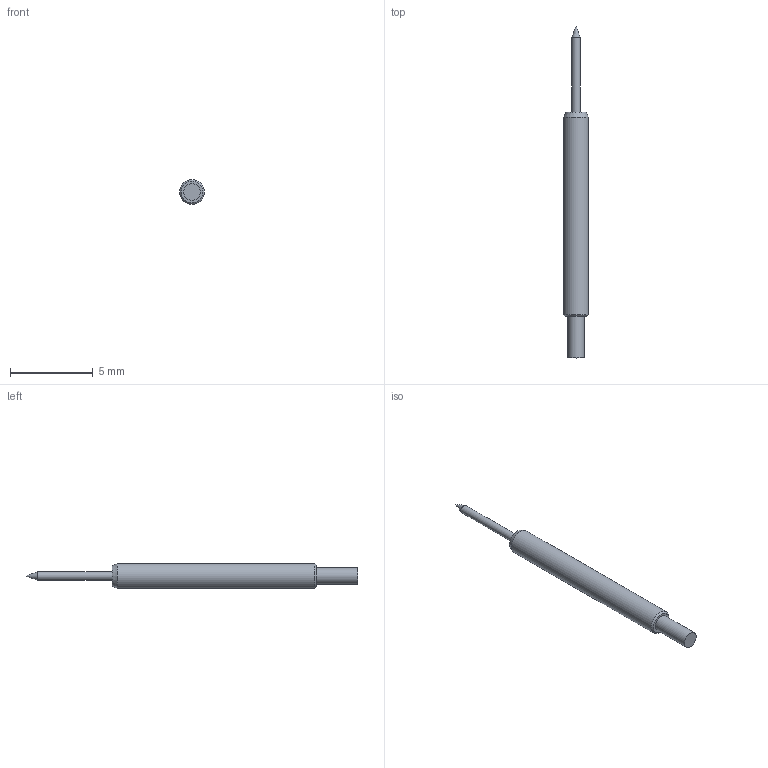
import cadquery as cq
import math

overall_length = 20.0
barrel_diameter = 1.5
barrel_length = 12.3
barrel_rear_chamfer = 0.1
mouth_diameter = 1.24
mouth_taper_length = 0.3
tail_diameter = 1.0
tail_length = 2.5
plunger_diameter = 0.5
point_half_angle = math.radians(20.0)

barrel_radius = barrel_diameter / 2
mouth_radius = mouth_diameter / 2
tail_radius = tail_diameter / 2
plunger_radius = plunger_diameter / 2
point_length = plunger_radius / math.tan(point_half_angle)

tail_end = -overall_length / 2
barrel_rear = tail_end + tail_length
barrel_front = barrel_rear + barrel_length
point_tip = overall_length / 2
point_base = point_tip - point_length


def revolve_about_y(profile):
    """Revolve a closed (radius, y) half-profile once around the Y axis."""
    return cq.Workplane("XY").polyline(profile).close().revolve(360, (0, 0), (0, 1))


tail_profile = [
    (0, tail_end),
    (tail_radius, tail_end),
    (tail_radius, barrel_rear),
]
barrel_profile = [
    (barrel_radius - barrel_rear_chamfer, barrel_rear),
    (barrel_radius, barrel_rear + barrel_rear_chamfer),
    (barrel_radius, barrel_front - mouth_taper_length),
    (mouth_radius, barrel_front),
]
plunger_profile = [
    (plunger_radius, barrel_front),
    (plunger_radius, point_base),
    (0, point_tip),
]

result = revolve_about_y(tail_profile + barrel_profile + plunger_profile)